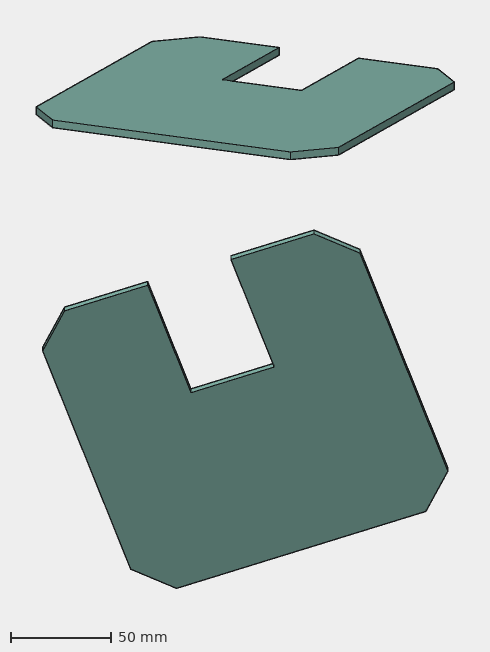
import cadquery as cq

side = 168.0
thickness = 4.0
corner_cut = 18.0
slot_width = 44.0
slot_depth = 65.0

plate = (
    cq.Workplane("XY")
    .box(side, side, thickness)
    .edges("|Z")
    .chamfer(corner_cut)
)

slot = (
    cq.Workplane("XY")
    .box(slot_width, slot_depth, thickness)
    .translate((0, (side - slot_depth) / 2, 0))
)

result = plate.cut(slot)